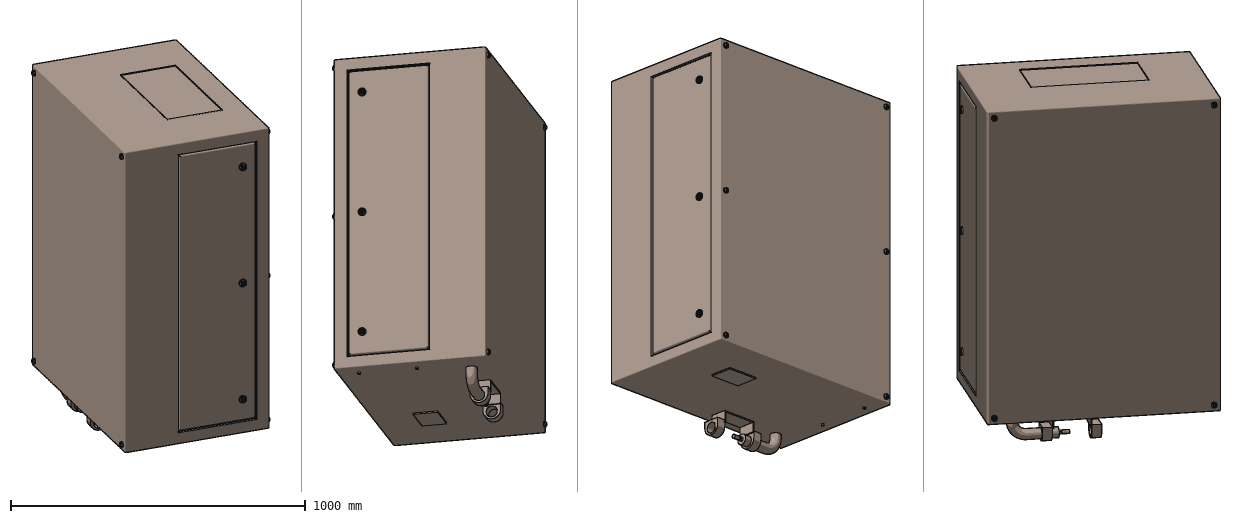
import cadquery as cq

WIDTH = 808.0
DEPTH = 533.0
HEIGHT = 1116.0
EDGE_RADIUS = 6.0

WINDOW_WIDTH = 408.0
WINDOW_DEPTH = 203.0
WINDOW_CENTER_Y = 76.0
WINDOW_RECESS = 4.0

DOOR_CENTER_Y = 75.0
DOOR_WIDTH = 280.0
DOOR_HEIGHT = 1021.0
DOOR_GAP = 5.0
DOOR_GAP_DEPTH = 10.0
DOOR_EDGE_RADIUS = 6.0

HEAD_HEIGHT = 8.0
HEAD_CHAMFER = 4.0
LOCK_RADIUS = 13.0
LOCK_SOCKET_RADIUS = 8.0
LOCK_PIN_RADIUS = 4.0
LOCK_Y = 166.0
LOCK_SPACING = 431.0
SCREW_RADIUS = 10.0
SCREW_INSET = 24.0
SLOT_WIDTH = 4.0
DRIVE_DEPTH = 4.0

PLATE_THICKNESS = 5.0
PLATE_WIDTH = 123.0
PLATE_DEPTH = 87.0
PLATE_CENTER_X = 153.0
PLATE_CENTER_Y = 75.0
STUD_RADIUS = 5.0
STUD_X = -354.0
STUD_YS = (191.0, -12.0)

CONDUIT_Y = -191.0
CONDUIT_X = -304.0
CONDUIT_RADIUS = 19.0
CONDUIT_DROP = 64.0
BEND_RADIUS = 50.0
CONDUIT_END_X = -144.0
PLUG_RADIUS = 7.0
PLUG_SHANK_LENGTH = 8.0
PLUG_NECK_RADIUS = 4.0
PLUG_NECK_LENGTH = 4.0
PLUG_TIP_LENGTH = 27.0

BRACKET_CENTER_X = -101.0
BRACKET_LENGTH = 138.0
BRACKET_THICKNESS = 5.0
COLLAR_RADIUS = 31.0
COLLAR_CENTER_DROP = 59.0
COLLAR_TOP_DROP = 35.0
LEG_OVERLAP = 5.0
COLLAR_LENGTH = 34.0


def make_box():
    box = cq.Workplane("XY").box(WIDTH, DEPTH, HEIGHT, centered=(True, True, False))
    box = box.edges().fillet(EDGE_RADIUS)
    window = (
        cq.Workplane("XY", origin=(0, WINDOW_CENTER_Y, HEIGHT - WINDOW_RECESS))
        .rect(WINDOW_WIDTH, WINDOW_DEPTH)
        .extrude(WINDOW_RECESS)
    )
    return box.cut(window)


def side_plane(side, y, z):
    """Workplane on a side panel, facing outward; local Y is up."""
    return cq.Workplane(cq.Plane((side * WIDTH / 2, y, z), (0, side, 0), (side, 0, 0)))


def wall_plane(side, x, z):
    """Workplane on the front (side -1) or back (side 1) panel, facing outward; local Y is up."""
    return cq.Workplane(cq.Plane((x, side * DEPTH / 2, z), (-side, 0, 0), (0, side, 0)))


def make_door_gap(side):
    """Ring to cut round a door; its inner rim leaves the door edges rounded."""
    plane = side_plane(side, DOOR_CENTER_Y, HEIGHT / 2)
    opening = plane.rect(DOOR_WIDTH + 2 * DOOR_GAP, DOOR_HEIGHT + 2 * DOOR_GAP).extrude(-DOOR_GAP_DEPTH)
    door = plane.rect(DOOR_WIDTH, DOOR_HEIGHT).extrude(-DOOR_GAP_DEPTH)
    door = door.faces(">X" if side > 0 else "<X").edges().fillet(DOOR_EDGE_RADIUS)
    return opening.cut(door)


def make_head(plane, radius):
    """Round head with a chamfered rim, standing on the given panel plane."""
    straight_height = HEAD_HEIGHT - HEAD_CHAMFER
    base = plane.circle(radius).extrude(straight_height)
    rim = (
        plane.workplane(offset=straight_height)
        .circle(radius)
        .workplane(offset=HEAD_CHAMFER)
        .circle(radius - HEAD_CHAMFER)
        .loft()
    )
    return base.union(rim)


def make_lock(plane):
    """Head with a ring-shaped key socket round a center pin."""
    socket = (
        plane.workplane(offset=HEAD_HEIGHT - DRIVE_DEPTH)
        .circle(LOCK_SOCKET_RADIUS)
        .circle(LOCK_PIN_RADIUS)
        .extrude(DRIVE_DEPTH)
    )
    return make_head(plane, LOCK_RADIUS).cut(socket)


def make_screw(plane):
    """Head with a straight upright slot."""
    slot = (
        plane.workplane(offset=HEAD_HEIGHT - DRIVE_DEPTH)
        .rect(SLOT_WIDTH, 2 * SCREW_RADIUS)
        .extrude(DRIVE_DEPTH)
    )
    return make_head(plane, SCREW_RADIUS).cut(slot)


def make_locks():
    """Three locks in a column on each side door."""
    return [
        make_lock(side_plane(side, LOCK_Y, HEIGHT / 2 + row * LOCK_SPACING))
        for side in (-1, 1)
        for row in (-1, 0, 1)
    ]


def make_screws():
    """Four screws in the front panel; the back panel has two more at mid height."""
    rows = {-1: (SCREW_INSET, HEIGHT - SCREW_INSET), 1: (SCREW_INSET, HEIGHT / 2, HEIGHT - SCREW_INSET)}
    reach = WIDTH / 2 - SCREW_INSET
    return [
        make_screw(wall_plane(side, x, z))
        for side in rows
        for x in (-reach, reach)
        for z in rows[side]
    ]


def make_underside_details():
    plate = (
        cq.Workplane("XY", origin=(PLATE_CENTER_X, PLATE_CENTER_Y, 0))
        .rect(PLATE_WIDTH, PLATE_DEPTH)
        .extrude(-PLATE_THICKNESS)
    )
    studs = [
        cq.Workplane("XY", origin=(STUD_X, y, 0)).circle(STUD_RADIUS).extrude(-PLATE_THICKNESS)
        for y in STUD_YS
    ]
    return [plate, *studs]


def make_collar(plane, length):
    """U-shaped block, straight above the collar axis and round below it."""
    return (
        plane.moveTo(-COLLAR_RADIUS, -COLLAR_TOP_DROP)
        .lineTo(-COLLAR_RADIUS, -COLLAR_CENTER_DROP)
        .threePointArc((0, -COLLAR_CENTER_DROP - COLLAR_RADIUS), (COLLAR_RADIUS, -COLLAR_CENTER_DROP))
        .lineTo(COLLAR_RADIUS, -COLLAR_TOP_DROP)
        .close()
        .extrude(length)
    )


def make_leg(plane, thickness):
    """Flat leg that laps the top of the collar beside it."""
    leg_length = COLLAR_TOP_DROP + LEG_OVERLAP
    return plane.center(0, -leg_length / 2).rect(2 * COLLAR_RADIUS, leg_length).extrude(thickness)


def make_bracket():
    half = BRACKET_LENGTH / 2
    bracket = (
        cq.Workplane("XY", origin=(BRACKET_CENTER_X, CONDUIT_Y, 0))
        .rect(BRACKET_LENGTH, 2 * COLLAR_RADIUS)
        .extrude(-BRACKET_THICKNESS)
    )
    for side in (-1, 1):
        face = cq.Workplane("YZ", origin=(BRACKET_CENTER_X + side * half, CONDUIT_Y, 0))
        bracket = bracket.union(make_leg(face, -side * BRACKET_THICKNESS))
        bracket = bracket.union(make_collar(face, side * COLLAR_LENGTH))
    bore = (
        cq.Workplane("YZ", origin=(BRACKET_CENTER_X, CONDUIT_Y, -CONDUIT_DROP))
        .circle(CONDUIT_RADIUS)
        .extrude(half + COLLAR_LENGTH, both=True)
    )
    return bracket.cut(bore)


def make_cabinet():
    cabinet = make_box()
    for side in (-1, 1):
        cabinet = cabinet.cut(make_door_gap(side))
    for detail in [*make_locks(), *make_screws(), *make_underside_details(), make_bracket()]:
        cabinet = cabinet.union(detail)
    return cabinet


def make_conduit():
    bend_start = BEND_RADIUS - CONDUIT_DROP
    bend_end_x = CONDUIT_X + BEND_RADIUS
    drop = cq.Workplane("XY", origin=(CONDUIT_X, CONDUIT_Y, 0)).circle(CONDUIT_RADIUS).extrude(bend_start)
    elbow = (
        cq.Workplane("XY", origin=(CONDUIT_X, CONDUIT_Y, bend_start))
        .circle(CONDUIT_RADIUS)
        .revolve(90, (BEND_RADIUS, 0, 0), (BEND_RADIUS, -1, 0))
    )
    conduit = drop.union(elbow)
    start = bend_end_x
    for radius, length in (
        (CONDUIT_RADIUS, CONDUIT_END_X - bend_end_x),
        (PLUG_RADIUS, PLUG_SHANK_LENGTH),
        (PLUG_NECK_RADIUS, PLUG_NECK_LENGTH),
        (PLUG_RADIUS, PLUG_TIP_LENGTH),
    ):
        run = cq.Workplane("YZ", origin=(start, CONDUIT_Y, -CONDUIT_DROP)).circle(radius).extrude(length)
        conduit = conduit.union(run)
        start += length
    return conduit


cabinet = make_cabinet()
conduit = make_conduit()
result = cq.Compound.makeCompound([cabinet.val(), conduit.val()])